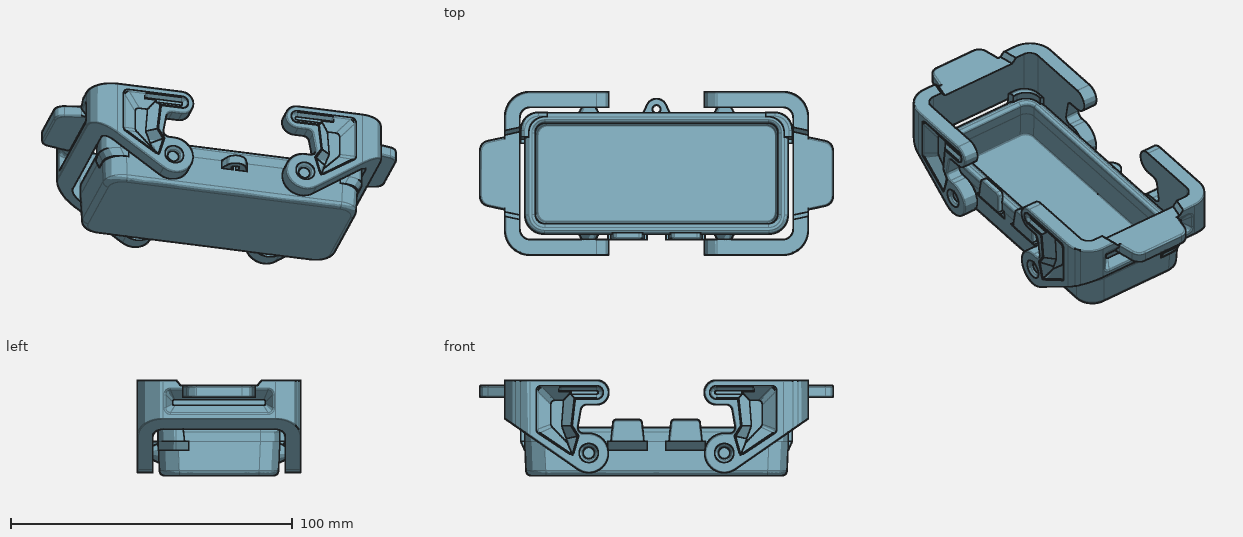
import cadquery as cq
import math

OVERALL_LENGTH = 125.5
OVERALL_WIDTH = 58.07
OVERALL_HEIGHT = 34.0

TRAY_LENGTH = 93.6
TRAY_WIDTH = 43.2
TRAY_FOOT_INSET = 0.5
TRAY_CORNER = 7.0
TRAY_BOTTOM_ROUND = 2.0
SEAM_HEIGHT = 12.2
RIM_HEIGHT = 17.2
RIM_ROUND = 1.5
RIM_INNER_ROUND = 1.3
CAVITY_INSET = 3.75
CAVITY_CORNER = 3.4
CAVITY_FLOOR = 3.5
CAVITY_FLOOR_INSET = 4.5
CAVITY_FLOOR_ROUND = 0.25

GUIDE_TOP = 20.0
GUIDE_FOOT = 9.1
GUIDE_REACH = 2.0
GUIDE_SPACING = 20.6
GUIDE_TOP_HALF_WIDTH = 5.1
GUIDE_HALF_WIDTH = 5.9
GUIDE_FOOT_HALF_WIDTH = 7.0
GUIDE_TOP_LEAN = 0.5
GUIDE_EDGE_ROUND = 0.4
GUIDE_ROUND = 1.3
CORNER_GUIDE_REACH = 1.4
CORNER_GUIDE_SIDE_REACH = 0.1
CORNER_GUIDE_END_X = 38.8
CORNER_GUIDE_ROUND = 6.3
CORNER_GUIDE_LEDGE_Y = 10.7
CORNER_GUIDE_END_Y = 12.2
CORNER_GUIDE_END_LEAN = 0.9

EYE_Y = 22.8
EYE_RADIUS = 3.75
EYE_HOLE_RADIUS = 1.4
EYE_SHOULDER_ANGLE = math.radians(20)
EYE_ROOT_HALF_WIDTH = 4.7

LEVER_END_X = 53.9
LEVER_WALL = 5.45
ARM_THICKNESS = 5.6
LEVER_OUTER_CORNER = 9.0
LEVER_FLAT_ANGLES = (22, 36)
LEVER_INNER_CORNER = 3.6
LEVER_EDGE_ROUND = 0.4
LEVER_LOW_CORNER_Z = 20.3
PIVOT_X = 24.05
PIVOT_Z = 8.1
PIVOT_EYE_RADIUS = 7.0
NOSE_CENTRE_X = 21.3
NOSE_RADIUS = 4.4
NOTCH_TOP_X = 26.5
NOTCH_BOTTOM_X = 28.3
NOTCH_ROUND = 2.0

PIN_RADIUS = 2.5
PIN_BOSS_RADIUS = 3.7
PIN_END_RADIUS = 2.0
PIN_RECESS = 1.5
PIN_SINK_RADIUS = 3.4
PIN_SINK_DEPTH = 0.8

ARM_POCKET_MOUTH = [(-42.5, 31.8), (-28.5, 31.8), (-30.1, 17.7), (-27.8, 14.1), (-29.8, 7.3), (-42.5, 15.7)]
ARM_POCKET_FLOOR = [(-37.5, 26.8), (-33.0, 26.8), (-33.7, 17.8), (-32.0, 13.2), (-31.6, 11.7), (-37.5, 17.8)]
ARM_POCKET_DEPTH = 3.3
ARM_POCKET_ROUND = 2.8
ARM_LIP_GROWTH = 0.2
ARM_LIP_DEPTH = 0.3
ARM_LIP_BEVEL_DEPTH = 0.27
ARM_LIP_BEVEL_WIDTH = 0.7
ARM_LIP_CORNER = 1.9
ARM_LIP_TOE_ROUND = 1.0
NOSE_POCKET_START_X = 34.0
NOSE_POCKET_RADIUS = 2.2
NOSE_POCKET_FLOOR_RADIUS = 0.6
NOSE_POCKET_DEPTH = 1.3

TAB_TOP = 32.1
TAB_BOTTOM = 27.8
TAB_ROOT_HALF_WIDTH = 12.9
TAB_END_HALF_WIDTH = 11.0
TAB_CORNER = 3.7
TAB_EDGE_ROUND = 0.6
TAB_NOTCH_HALF_WIDTH = 13.6
TAB_NOTCH_SLOPE = 1.6
TAB_NOTCH_FLARE = 1.2

END_POCKET_HALF_WIDTH = 19.2
END_POCKET_BOTTOM = 22.3
END_POCKET_TOP = 30.9
END_POCKET_FLOOR_HALF_WIDTH = 16.5
END_POCKET_FLOOR_BOTTOM = 25.0
END_POCKET_FLOOR_TOP = 27.0
END_POCKET_DEPTH = 3.0
END_POCKET_ROUND = 1.8
END_POCKET_FLOOR_ROUND = 0.7
END_POCKET_MOUTH_ROUND = 1.0

HALF_WIDTH = OVERALL_WIDTH / 2
NOSE_POCKET_RUN = NOSE_POCKET_START_X - NOSE_CENTRE_X
ARM_INNER_Y = HALF_WIDTH - ARM_THICKNESS
TRAY_HALF_WIDTH = TRAY_WIDTH / 2

PICK_MARGIN = 0.1


def rounded_block(length, width, corner, bottom, top):
    block = cq.Workplane("XY").workplane(offset=bottom).rect(length, width).extrude(top - bottom)
    return block.edges("|Z").fillet(corner)


def rounded_loft(low_size, high_size, corner, low_z, high_z):
    """Block with rounded corners whose plan changes evenly from low_size to high_size."""
    low = cq.Sketch().rect(*low_size).vertices().fillet(corner)
    high = cq.Sketch().rect(*high_size).vertices().fillet(corner)
    return cq.Workplane("XY").placeSketch(
        low.moved(cq.Location(cq.Vector(0, 0, low_z))),
        high.moved(cq.Location(cq.Vector(0, 0, high_z))),
    ).loft()


def loft_polygons(first, second):
    """Flat-sided solid between two polygons of equal corner count, given as (x, y, z) corners."""
    wires = [cq.Wire.makePolygon([cq.Vector(*p) for p in polygon], close=True) for polygon in (first, second)]
    return cq.Workplane("XY").newObject([cq.Solid.makeLoft(wires, True)])


def pivot_cylinder(low_radius, low_y, high_radius, high_y):
    """Round solid about the -X, -Y pivot axis, between two distances from the middle plane."""
    first = cq.Workplane("XZ", origin=(-PIVOT_X, -low_y, PIVOT_Z)).circle(low_radius)
    return first.workplane(offset=high_y - low_y).circle(high_radius).loft()


def tray_outside():
    foot_size = (TRAY_LENGTH - 2 * TRAY_FOOT_INSET, TRAY_WIDTH - 2 * TRAY_FOOT_INSET)
    lower = rounded_loft(foot_size, (TRAY_LENGTH, TRAY_WIDTH), TRAY_CORNER, 0, SEAM_HEIGHT)
    lower = lower.faces("<Z").edges().fillet(TRAY_BOTTOM_ROUND)
    upper = rounded_block(TRAY_LENGTH, TRAY_WIDTH, TRAY_CORNER, SEAM_HEIGHT, RIM_HEIGHT)
    upper = upper.faces(">Z").edges().fillet(RIM_ROUND)
    return lower.union(upper)


def tray_cavity():
    length = TRAY_LENGTH - 2 * CAVITY_INSET
    width = TRAY_WIDTH - 2 * CAVITY_INSET
    floor_size = (TRAY_LENGTH - 2 * CAVITY_FLOOR_INSET, TRAY_WIDTH - 2 * CAVITY_FLOOR_INSET)
    upper = rounded_block(length, width, CAVITY_CORNER, SEAM_HEIGHT, RIM_HEIGHT)
    lower = rounded_loft(floor_size, (length, width), CAVITY_CORNER, CAVITY_FLOOR, SEAM_HEIGHT)
    lower = lower.faces("<Z").edges().fillet(CAVITY_FLOOR_ROUND)
    return upper.union(lower)


def hollow_tray(body):
    """Empties the tray and rounds the inner edge of its rim."""
    mouth_x = TRAY_LENGTH / 2 - CAVITY_INSET + PICK_MARGIN
    mouth_y = TRAY_HALF_WIDTH - CAVITY_INSET + PICK_MARGIN
    inner_edge = cq.selectors.BoxSelector(
        (-mouth_x, -mouth_y, RIM_HEIGHT - PICK_MARGIN),
        (mouth_x, mouth_y, RIM_HEIGHT + PICK_MARGIN),
        boundingbox=True,
    )
    return body.cut(tray_cavity()).edges(inner_edge).fillet(RIM_INNER_ROUND)


def guide_section(x, half_width, outer_y, z):
    root_y = -TRAY_HALF_WIDTH + TRAY_FOOT_INSET
    return [
        (x - half_width, outer_y, z),
        (x + half_width, outer_y, z),
        (x + half_width, root_y, z),
        (x - half_width, root_y, z),
    ]


def front_guide(x):
    """Upright plate on the -Y side with a sloping underside."""
    outer_y = -TRAY_HALF_WIDTH - GUIDE_REACH
    foot = guide_section(x, GUIDE_FOOT_HALF_WIDTH, -TRAY_HALF_WIDTH, GUIDE_FOOT)
    ledge = guide_section(x, GUIDE_FOOT_HALF_WIDTH, outer_y, SEAM_HEIGHT)
    plate_foot = guide_section(x, GUIDE_HALF_WIDTH, outer_y, SEAM_HEIGHT)
    plate_top = guide_section(x, GUIDE_TOP_HALF_WIDTH, outer_y + GUIDE_TOP_LEAN, GUIDE_TOP)
    plate = loft_polygons(plate_foot, plate_top)
    plate = plate.faces(">Z").edges("<X or >X").fillet(GUIDE_ROUND)
    plate = plate.faces("<Y").edges("not <Z").fillet(GUIDE_EDGE_ROUND)
    return plate.union(loft_polygons(foot, ledge))


def corner_guide():
    """Plate wrapped around the -X, +Y corner of the rim, with a sloping underside."""
    outer_size = (TRAY_LENGTH + 2 * CORNER_GUIDE_REACH, TRAY_WIDTH + 2 * CORNER_GUIDE_SIDE_REACH)
    tray_size = (TRAY_LENGTH, TRAY_WIDTH)
    wall = rounded_block(*outer_size, CORNER_GUIDE_ROUND, SEAM_HEIGHT, GUIDE_TOP)
    wall = wall.faces(">Z").edges().fillet(GUIDE_ROUND)
    under = rounded_loft(tray_size, outer_size, CORNER_GUIDE_ROUND, GUIDE_FOOT, SEAM_HEIGHT)
    ring = wall.union(under)
    core = rounded_block(
        TRAY_LENGTH - 2 * RIM_ROUND,
        TRAY_WIDTH - 2 * RIM_ROUND,
        TRAY_CORNER - RIM_ROUND,
        GUIDE_FOOT,
        GUIDE_TOP,
    )
    region = (
        cq.Workplane("YZ", origin=(-OVERALL_LENGTH / 2, 0, 0))
        .polyline(
            [
                (CORNER_GUIDE_LEDGE_Y, GUIDE_FOOT),
                (CORNER_GUIDE_LEDGE_Y, SEAM_HEIGHT),
                (CORNER_GUIDE_END_Y, SEAM_HEIGHT),
                (CORNER_GUIDE_END_Y + CORNER_GUIDE_END_LEAN, GUIDE_TOP),
                (HALF_WIDTH, GUIDE_TOP),
                (HALF_WIDTH, GUIDE_FOOT),
            ]
        )
        .close()
        .extrude(OVERALL_LENGTH / 2 - CORNER_GUIDE_END_X)
    )
    return ring.cut(core).intersect(region)


def eyelet():
    thickness = SEAM_HEIGHT - GUIDE_FOOT
    root_y = TRAY_HALF_WIDTH - TRAY_FOOT_INSET
    shoulder_x = EYE_RADIUS * math.cos(EYE_SHOULDER_ANGLE)
    shoulder_y = EYE_Y + EYE_RADIUS * math.sin(EYE_SHOULDER_ANGLE)
    tab = (
        cq.Workplane("XY", origin=(0, 0, GUIDE_FOOT))
        .polyline(
            [
                (-EYE_ROOT_HALF_WIDTH, root_y),
                (-EYE_ROOT_HALF_WIDTH, TRAY_HALF_WIDTH),
                (-shoulder_x, shoulder_y),
                (shoulder_x, shoulder_y),
                (EYE_ROOT_HALF_WIDTH, TRAY_HALF_WIDTH),
                (EYE_ROOT_HALF_WIDTH, root_y),
            ]
        )
        .close()
        .extrude(thickness)
    )
    eye_plane = cq.Workplane("XY", origin=(0, EYE_Y, GUIDE_FOOT))
    ring = eye_plane.circle(EYE_RADIUS).extrude(thickness)
    hole = eye_plane.circle(EYE_HOLE_RADIUS).extrude(thickness)
    return tab.union(ring).cut(hole)


def lever_side_outline():
    """Side shape of the lever: hooked nose, notch, pivot eye and slanted underside."""
    nose_low_z = OVERALL_HEIGHT - 2 * NOSE_RADIUS
    eye_top_z = PIVOT_Z + PIVOT_EYE_RADIUS
    dx = LEVER_END_X - PIVOT_X
    dz = LEVER_LOW_CORNER_Z - PIVOT_Z
    tangent_angle = math.atan2(dz, -dx) + math.acos(PIVOT_EYE_RADIUS / math.hypot(dx, dz))
    tangent = (
        -PIVOT_X + PIVOT_EYE_RADIUS * math.cos(tangent_angle),
        PIVOT_Z + PIVOT_EYE_RADIUS * math.sin(tangent_angle),
    )
    profile = (
        cq.Workplane("XZ", origin=(0, HALF_WIDTH, 0))
        .moveTo(-LEVER_END_X, OVERALL_HEIGHT)
        .lineTo(-NOSE_CENTRE_X, OVERALL_HEIGHT)
        .threePointArc(
            (-NOSE_CENTRE_X + NOSE_RADIUS, OVERALL_HEIGHT - NOSE_RADIUS), (-NOSE_CENTRE_X, nose_low_z)
        )
        .lineTo(-NOTCH_TOP_X, nose_low_z)
        .lineTo(-NOTCH_BOTTOM_X, eye_top_z)
        .lineTo(-PIVOT_X, eye_top_z)
        .threePointArc((-PIVOT_X + PIVOT_EYE_RADIUS, PIVOT_Z), tangent)
        .lineTo(-LEVER_END_X, LEVER_LOW_CORNER_Z)
        .close()
        .extrude(OVERALL_WIDTH)
    )
    for corner_x, corner_z in ((NOTCH_TOP_X, nose_low_z), (NOTCH_BOTTOM_X, eye_top_z)):
        profile = profile.edges(cq.NearestToPointSelector((-corner_x, 0, corner_z))).fillet(NOTCH_ROUND)
    return profile


def lever_plan():
    """Plan shape of the lever's end; each round corner on the -Y side carries a narrow flat."""
    centre_x = -LEVER_END_X + LEVER_OUTER_CORNER
    centre_y = HALF_WIDTH - LEVER_OUTER_CORNER

    def corner_point(angle):
        """Point on the -Y corner, at an angle in degrees from the arm's outside face."""
        turn = math.radians(angle)
        return (
            centre_x - LEVER_OUTER_CORNER * math.sin(turn),
            -centre_y - LEVER_OUTER_CORNER * math.cos(turn),
        )

    flat_start, flat_end = LEVER_FLAT_ANGLES
    return (
        cq.Workplane("XY")
        .moveTo(0, HALF_WIDTH)
        .lineTo(centre_x, HALF_WIDTH)
        .tangentArcPoint((-LEVER_END_X, centre_y), relative=False)
        .lineTo(-LEVER_END_X, -centre_y)
        .threePointArc(corner_point((flat_end + 90) / 2), corner_point(flat_end))
        .lineTo(*corner_point(flat_start))
        .threePointArc(corner_point(flat_start / 2), corner_point(0))
        .lineTo(0, -HALF_WIDTH)
        .close()
        .extrude(OVERALL_HEIGHT)
    )


def lever_frame():
    side = lever_side_outline()
    plan = lever_plan()
    window = rounded_block(
        2 * (LEVER_END_X - LEVER_WALL), 2 * ARM_INNER_Y, LEVER_INNER_CORNER, 0, OVERALL_HEIGHT
    )
    frame = side.intersect(plan)
    frame = frame.faces("<Y or >Y").edges().fillet(LEVER_EDGE_ROUND)
    return frame.cut(window)


def nose_pocket_plane():
    mid_x = (NOSE_POCKET_START_X + NOSE_CENTRE_X) / 2
    return cq.Workplane("XZ", origin=(-mid_x, -HALF_WIDTH, OVERALL_HEIGHT - NOSE_RADIUS))


def arm_pocket_lip():
    """Shallow bevelled rim around the mouth of the recess in the -Y arm."""
    lip = cq.Workplane("XZ", origin=(0, -HALF_WIDTH, 0)).polyline(ARM_POCKET_MOUTH).close()
    lip = lip.offset2D(ARM_LIP_GROWTH, "intersection").extrude(-ARM_LIP_DEPTH)
    lip = lip.edges("|Y").edges("<X").fillet(ARM_LIP_CORNER)
    lip = lip.edges("|Y").edges("<Z").fillet(ARM_LIP_TOE_ROUND)
    radius = NOSE_POCKET_RADIUS + ARM_LIP_GROWTH
    nose = nose_pocket_plane().slot2D(NOSE_POCKET_RUN + 2 * radius, 2 * radius).extrude(-ARM_LIP_DEPTH)
    return lip.union(nose).faces(">Y").chamfer(ARM_LIP_BEVEL_DEPTH, ARM_LIP_BEVEL_WIDTH)


def arm_pocket():
    """Tapered recess in the outside of the -Y arm."""
    main = loft_polygons(
        [(x, -HALF_WIDTH, z) for x, z in ARM_POCKET_MOUTH],
        [(x, -HALF_WIDTH + ARM_POCKET_DEPTH, z) for x, z in ARM_POCKET_FLOOR],
    )
    end_corners = cq.selectors.BoxSelector(
        (-LEVER_END_X, -HALF_WIDTH + PICK_MARGIN, 0),
        (ARM_POCKET_FLOOR[0][0] - PICK_MARGIN, 0, OVERALL_HEIGHT),
    )
    main = main.edges(end_corners).fillet(ARM_POCKET_ROUND)
    nose = (
        nose_pocket_plane()
        .slot2D(NOSE_POCKET_RUN + 2 * NOSE_POCKET_RADIUS, 2 * NOSE_POCKET_RADIUS)
        .workplane(offset=-NOSE_POCKET_DEPTH)
        .slot2D(NOSE_POCKET_RUN + 2 * NOSE_POCKET_FLOOR_RADIUS, 2 * NOSE_POCKET_FLOOR_RADIUS)
        .loft()
    )
    return main.union(nose).union(arm_pocket_lip())


def end_pocket():
    """Tapered recess in the outside of the -X end wall."""
    mid_floor = (END_POCKET_FLOOR_BOTTOM + END_POCKET_FLOOR_TOP) / 2
    mid_mouth = (END_POCKET_BOTTOM + END_POCKET_TOP) / 2
    mouth_size = (2 * END_POCKET_HALF_WIDTH, END_POCKET_TOP - END_POCKET_BOTTOM)
    floor_size = (2 * END_POCKET_FLOOR_HALF_WIDTH, END_POCKET_FLOOR_TOP - END_POCKET_FLOOR_BOTTOM)
    mouth = cq.Sketch().rect(*mouth_size).vertices().fillet(END_POCKET_ROUND)
    floor = cq.Sketch().rect(*floor_size).vertices().fillet(END_POCKET_FLOOR_ROUND)
    return (
        cq.Workplane("YZ", origin=(-LEVER_END_X, 0, 0))
        .placeSketch(
            mouth.moved(cq.Location(cq.Vector(0, mid_mouth, 0))),
            floor.moved(cq.Location(cq.Vector(0, mid_floor, END_POCKET_DEPTH))),
        )
        .loft()
    )


def tab_notch():
    """Sloping-sided gap in the top of the end wall, widening inwards."""

    def section(x, flare):
        low = TAB_NOTCH_HALF_WIDTH + flare
        high = low + TAB_NOTCH_SLOPE
        return [
            (x, -low, TAB_TOP),
            (x, low, TAB_TOP),
            (x, high, OVERALL_HEIGHT),
            (x, -high, OVERALL_HEIGHT),
        ]

    return loft_polygons(section(-LEVER_END_X, 0), section(-LEVER_END_X + LEVER_WALL, TAB_NOTCH_FLARE))


def finger_tab():
    end_x = OVERALL_LENGTH / 2
    inner_x = LEVER_END_X - LEVER_WALL
    tab = (
        cq.Workplane("XY", origin=(0, 0, TAB_BOTTOM))
        .moveTo(-inner_x, TAB_ROOT_HALF_WIDTH)
        .lineTo(-LEVER_END_X, TAB_ROOT_HALF_WIDTH)
        .lineTo(-end_x, TAB_END_HALF_WIDTH)
        .lineTo(-end_x, -TAB_END_HALF_WIDTH)
        .lineTo(-LEVER_END_X, -TAB_ROOT_HALF_WIDTH)
        .lineTo(-inner_x, -TAB_ROOT_HALF_WIDTH)
        .close()
        .extrude(TAB_TOP - TAB_BOTTOM)
    )
    tab = tab.edges("|Z").edges("<X").fillet(TAB_CORNER)
    free_edges = cq.selectors.BoxSelector(
        (-end_x - PICK_MARGIN, -HALF_WIDTH, TAB_BOTTOM - PICK_MARGIN),
        (-LEVER_END_X - PICK_MARGIN, HALF_WIDTH, OVERALL_HEIGHT),
    )
    rims = tab.faces("<Z or >Z").edges(free_edges)
    return rims.fillet(TAB_EDGE_ROUND)


def pivot_pin():
    """Coned boss on the tray side and the pin that fills the -Y arm's pivot hole."""
    boss = pivot_cylinder(PIN_BOSS_RADIUS, TRAY_HALF_WIDTH - TRAY_FOOT_INSET, PIN_RADIUS, ARM_INNER_Y)
    pin = pivot_cylinder(PIN_RADIUS, ARM_INNER_Y, PIN_RADIUS, HALF_WIDTH)
    return boss.union(pin)


def pin_end_recess():
    """Countersunk mouth and the bevelled pin end set back inside it."""
    sink = pivot_cylinder(PIN_RADIUS, HALF_WIDTH - PIN_SINK_DEPTH, PIN_SINK_RADIUS, HALF_WIDTH)
    bevel = pivot_cylinder(PIN_END_RADIUS, HALF_WIDTH - PIN_RECESS, PIN_RADIUS, HALF_WIDTH - PIN_SINK_DEPTH)
    return sink.union(bevel)


def both_sides(feature):
    return feature.union(feature.mirror("XZ"))


def locking_lever():
    lever = lever_frame().cut(both_sides(arm_pocket())).cut(end_pocket())
    mouth_edges = [edge for wire in lever.faces("<X").val().innerWires() for edge in wire.Edges()]
    lever = lever.newObject(mouth_edges).fillet(END_POCKET_MOUTH_ROUND)
    lever = lever.union(finger_tab()).cut(tab_notch())
    return lever.union(both_sides(pivot_pin())).cut(both_sides(pin_end_recess()))


tray = tray_outside()
tray = tray.union(eyelet())
tray = hollow_tray(tray)
for guide_x in (-GUIDE_SPACING / 2, GUIDE_SPACING / 2):
    tray = tray.union(front_guide(guide_x))
left_lever_side = locking_lever().union(corner_guide())
result = tray.union(left_lever_side).union(left_lever_side.mirror("YZ"))